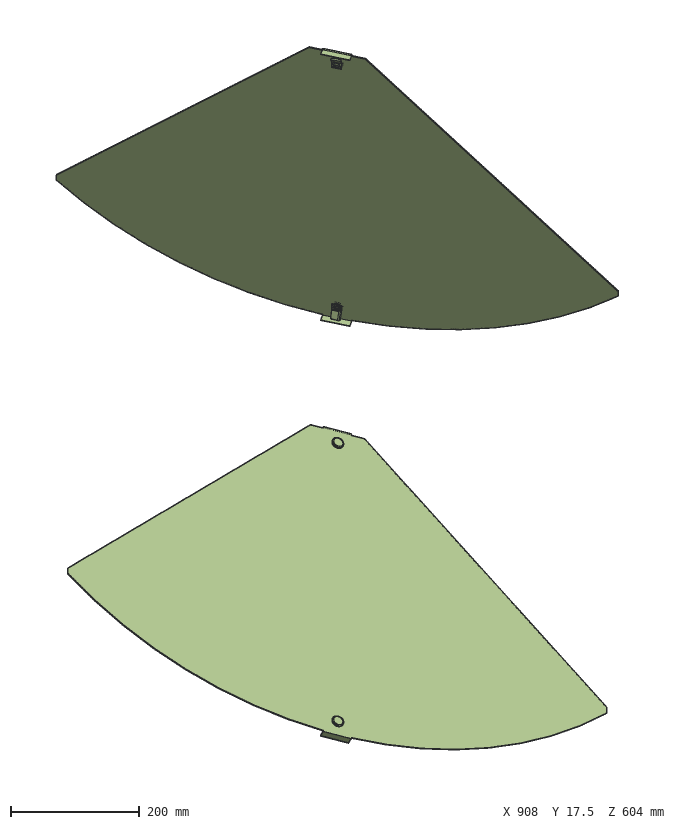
import cadquery as cq
import math


half_width = 454.0
half_height = 302.0
panel_thickness = 2.0
panel_front = 3.4
panel_back = panel_front + panel_thickness
top_edge = 300.0
top_edge_half = 45.0
corner_top = top_edge - (half_width - top_edge_half)
corner_bottom = -120.0
arc_bottom = -301.0

flange_width = 47.0
flange_tip = -7.0
flange_thickness = 1.4

fastener_offset = 276.0
shank_diameter = 9.0
head_diameter = 19.0
head_back = 8.6
head_chamfer_axial = 0.6
head_chamfer_radial = 2.0
nut_flats = 15.9
nut_front = 2.0
nut_corner_turn = 30

lever_half_width = 8.0
foot_front = 0.1
foot_top = 7.0
foot_bottom = -7.0
crossbar_top = -0.45
crossbar_bottom = -4.5
crossbar_front = -1.0

arm_tilt = 30.0
arm_thickness = 3.0
wing_angle = 30.0
wing_width = 4.0
arm_end_round = 3.0
arm_tip_y = -4.9
arm_tip_z = 296.0
arm_length = 27.0


def make_panel():
    """Sector sheet with a flange at each end and a hole for each fastener."""
    sector = (
        cq.Workplane("XZ", origin=(0, panel_back, 0))
        .moveTo(-top_edge_half, top_edge)
        .lineTo(top_edge_half, top_edge)
        .lineTo(half_width, corner_top)
        .lineTo(half_width, corner_bottom)
        .threePointArc((0, arc_bottom), (-half_width, corner_bottom))
        .lineTo(-half_width, corner_top)
        .close()
        .extrude(panel_thickness)
    )
    tabs = cq.Workplane("XY").box(flange_width, panel_thickness, 2 * half_height)
    tabs = tabs.translate((0, (panel_front + panel_back) / 2, 0))
    panel = sector.union(tabs)
    flange_depth = panel_front - flange_tip
    for side in (1, -1):
        flange = cq.Workplane("XY").box(flange_width, flange_depth, flange_thickness)
        flange_z = side * (half_height - flange_thickness / 2)
        flange = flange.translate((0, (panel_front + flange_tip) / 2, flange_z))
        panel = panel.union(flange)
    holes = (
        cq.Workplane("XZ", origin=(0, panel_back, 0))
        .pushPoints([(0, fastener_offset), (0, -fastener_offset)])
        .circle(shank_diameter / 2)
        .extrude(panel_thickness)
    )
    return panel.cut(holes)


def cylinder(back, front, diameter):
    """Round bar around the Y axis."""
    return cq.Workplane("XZ", origin=(0, back, 0)).circle(diameter / 2).extrude(back - front)


def make_nut():
    """Hexagon against the front of the panel, with corners at its top and bottom."""
    across_corners = nut_flats / math.cos(math.radians(30))
    nut = (
        cq.Workplane("XZ", origin=(0, panel_front, 0))
        .polygon(6, across_corners)
        .extrude(panel_front - nut_front)
    )
    return nut.rotate((0, 0, 0), (0, 1, 0), nut_corner_turn)


def make_top_fastener():
    """Chamfered head behind the panel, nut in front, and a shank ending flush in the lever foot."""
    head = cylinder(head_back, panel_back, head_diameter)
    head = head.faces(">Y").chamfer(head_chamfer_axial, head_chamfer_radial)
    shank = cylinder(panel_back, foot_front, shank_diameter)
    return head.union(shank).union(make_nut()).translate((0, 0, fastener_offset))


def lever_block(back, front, bottom, top):
    """Block as wide as the lever, with its heights measured from the fastener axis."""
    block = cq.Workplane("XY").box(2 * lever_half_width, back - front, top - bottom)
    return block.translate((0, (back + front) / 2, fastener_offset + (top + bottom) / 2))


def make_arm():
    """Leaning strap with a folded edge, cut off at the front of the nut."""
    fold = math.radians(wing_angle)
    fold_x = wing_width - lever_half_width
    wing_y = wing_width * math.tan(fold)
    edge_x = arm_thickness * math.sin(fold)
    edge_y = arm_thickness * math.cos(fold)
    front_fold_x = fold_x + arm_thickness * math.tan(fold / 2)
    rounded_end = (
        cq.Workplane("XY")
        .box(2 * lever_half_width, 2 * arm_length, 2 * arm_length)
        .translate((0, 0, -arm_length))
        .edges("|Y and >Z")
        .fillet(arm_end_round)
    )
    strap = (
        cq.Workplane("XY")
        .moveTo(lever_half_width, 0)
        .lineTo(fold_x, 0)
        .lineTo(-lever_half_width, -wing_y)
        .lineTo(edge_x - lever_half_width, -wing_y - edge_y)
        .lineTo(front_fold_x, -arm_thickness)
        .lineTo(lever_half_width, -arm_thickness)
        .close()
        .extrude(-arm_length)
        .intersect(rounded_end)
        .rotate((0, 0, 0), (1, 0, 0), arm_tilt)
        .translate((0, arm_tip_y, arm_tip_z))
    )
    behind_nut_front = (
        cq.Workplane("XZ", origin=(0, nut_front, arm_tip_z))
        .rect(2 * arm_length, 2 * arm_length)
        .extrude(-arm_length)
    )
    return strap.cut(behind_nut_front)


def make_top_lever():
    """Foot and crossbar against the nut, with the arm rising from the foot."""
    foot = lever_block(nut_front, foot_front, foot_bottom, foot_top)
    hole = cylinder(nut_front, foot_front, shank_diameter).translate((0, 0, fastener_offset))
    crossbar = lever_block(foot_front, crossbar_front, crossbar_bottom, crossbar_top)
    return foot.union(make_arm()).cut(hole).union(crossbar)


panel = make_panel()
top_fastener = make_top_fastener()
top_lever = make_top_lever()

fasteners = []
levers = []
for turn in (0, 180):
    fasteners.append(top_fastener.rotate((0, 0, 0), (0, 1, 0), turn))
    levers.append(top_lever.rotate((0, 0, 0), (0, 1, 0), turn))

result = cq.Compound.makeCompound(
    [panel.val(), *[body.val() for body in fasteners], *[body.val() for body in levers]]
)